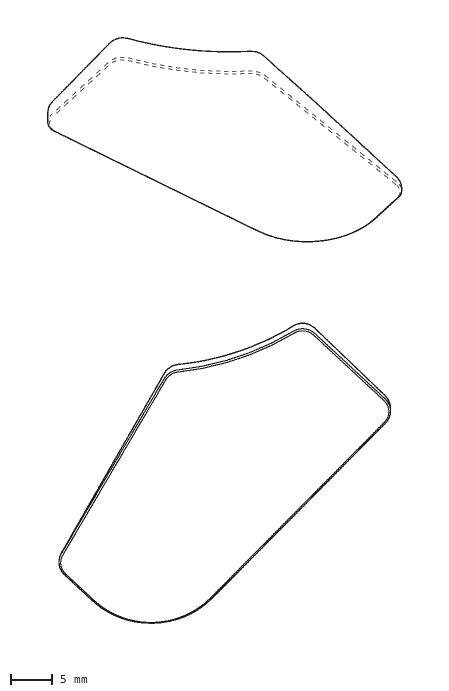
import cadquery as cq
import math

length = 42.4
left_height = 15.5
hollow_middle = (7.65, 18.05)
apex = (15.48, 23.28)
right_height = 16.5
corner_radius = 2.1
nose_radius = 10.15

front_left_height = 3.1
rise_per_depth = 0.083
start_slope = 0.025
crown_radius = 636.0

top_fillet = 1.5
bottom_chamfer = 0.2

margin = 8.5
skirt_depth = 4.25


def make_blank():
    """Plan outline as a prism, with its five upright corners rounded."""
    blank = (
        cq.Workplane("XY", origin=(0, 0, -skirt_depth))
        .moveTo(0, 0)
        .lineTo(length, 0)
        .lineTo(length, right_height)
        .lineTo(*apex)
        .threePointArc(hollow_middle, (0, left_height))
        .close()
        .extrude(skirt_depth + margin)
    )
    nose_edge = cq.selectors.NearestToPointSelector((length, 0, 0))
    blank = blank.edges("|Z").edges(nose_edge).fillet(nose_radius)
    for corner in ((0, 0), (length, right_height), apex, (0, left_height)):
        corner_edge = cq.selectors.NearestToPointSelector((*corner, 0))
        blank = blank.edges("|Z").edges(corner_edge).fillet(corner_radius)
    return blank


def crown_point(x):
    """Point of the crown arc in the XZ plane at the front side."""
    axis_x = -crown_radius * math.sin(math.atan(start_slope))
    axis_z = front_left_height - crown_radius * math.cos(math.atan(start_slope))
    return (x, axis_z + math.sqrt(crown_radius**2 - (x - axis_x) ** 2))


def make_crown():
    """Body below a cylindrical crown that climbs toward the back."""
    left = -margin
    right = length + margin
    floor = -skirt_depth - margin
    crown = (
        cq.Workplane("XZ", origin=(0, -margin, 0))
        .moveTo(left, floor)
        .lineTo(*crown_point(left))
        .threePointArc(crown_point(length / 2), crown_point(right))
        .lineTo(right, floor)
        .close()
        .extrude(-(apex[1] + 2 * margin))
    )
    tilt = math.degrees(math.atan(rise_per_depth))
    return crown.rotate((0, 0, front_left_height), (1, 0, front_left_height), tilt)


body = make_blank().intersect(make_crown())
body = body.faces(">Z").edges().fillet(top_fillet)

skirt = cq.Workplane("XY").rect(4 * length, 4 * length).extrude(-skirt_depth - margin)
body = body.cut(skirt)
result = body.faces("<Z").edges().chamfer(bottom_chamfer)